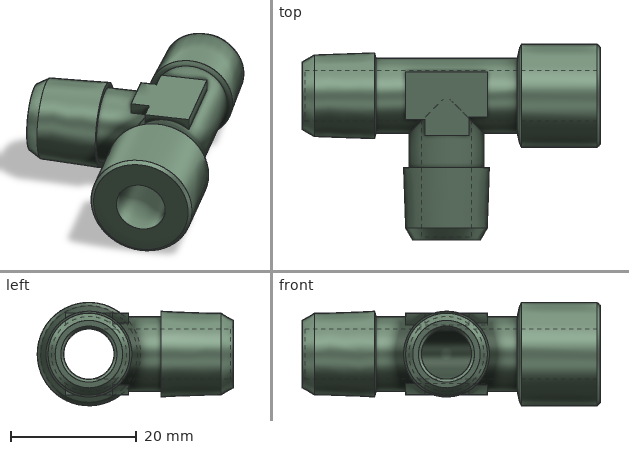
import cadquery as cq

run_length = 47.5
branch_x = 23.0
tube_radius = 6.0
bore_radius = 4.0
mouth_chamfer = 0.48

nose_radius = 5.35
nose_length = 1.95
taper_small_radius = 6.5
taper_large_radius = 6.85
taper_end = 11.55
run_back_cone = 0.25
branch_back_cone = 0.0

female_diameter = 16.5
female_radius = female_diameter / 2
female_start = 34.25
back_cone_end = 34.65
edge_radius = 7.65
edge_chamfer_end = 34.95
rim_length = 0.5
rim_drop = 0.5

pad_half_width = 6.5
pad_half_height = 6.5
pad_back_y = 3.75
pad_left_y = -3.75
pad_right_y = -3.35
tongue_left = -3.4
tongue_right = 3.55
tongue_y = -6.3


def revolve_about_x(points):
    return cq.Workplane("XY").polyline(points).close().revolve(360, (0, 0, 0), (1, 0, 0))


def male_arm(length, back_cone_length):
    """Tube along +X from the origin, with its tapered male nose at the origin."""
    return revolve_about_x([
        (0, 0),
        (0, nose_radius),
        (nose_length, taper_small_radius),
        (taper_end, taper_large_radius),
        (taper_end + back_cone_length, tube_radius),
        (length, tube_radius),
        (length, 0),
    ])


def bore(length):
    """Bore along +X from the origin, widened by a chamfer at its mouth."""
    return revolve_about_x([
        (0, 0),
        (0, bore_radius + mouth_chamfer),
        (mouth_chamfer, bore_radius),
        (length, bore_radius),
        (length, 0),
    ])


def as_branch(body):
    """Turn a body lying along +X so that its nose is at the -Y end of the branch."""
    return body.rotate((0, 0, 0), (0, 0, 1), 90).translate((branch_x, -branch_x, 0))


def female_end():
    return revolve_about_x([
        (female_start, 0),
        (female_start, tube_radius),
        (back_cone_end, edge_radius),
        (edge_chamfer_end, female_radius),
        (run_length - rim_length, female_radius),
        (run_length, female_radius - rim_drop),
        (run_length, 0),
    ])


def pads():
    """T-shaped block whose top and bottom stand proud of the tubes."""
    outline = [
        (-pad_half_width, pad_back_y),
        (pad_half_width, pad_back_y),
        (pad_half_width, pad_right_y),
        (tongue_right, pad_right_y),
        (tongue_right, tongue_y),
        (tongue_left, tongue_y),
        (tongue_left, pad_left_y),
        (-pad_half_width, pad_left_y),
    ]
    block = cq.Workplane("XY").polyline(outline).close().extrude(pad_half_height, both=True)
    return block.translate((branch_x, 0, 0))


body = male_arm(female_start, run_back_cone).union(female_end())
body = body.union(as_branch(male_arm(branch_x, branch_back_cone))).union(pads())
result = body.cut(bore(run_length)).cut(as_branch(bore(branch_x)))